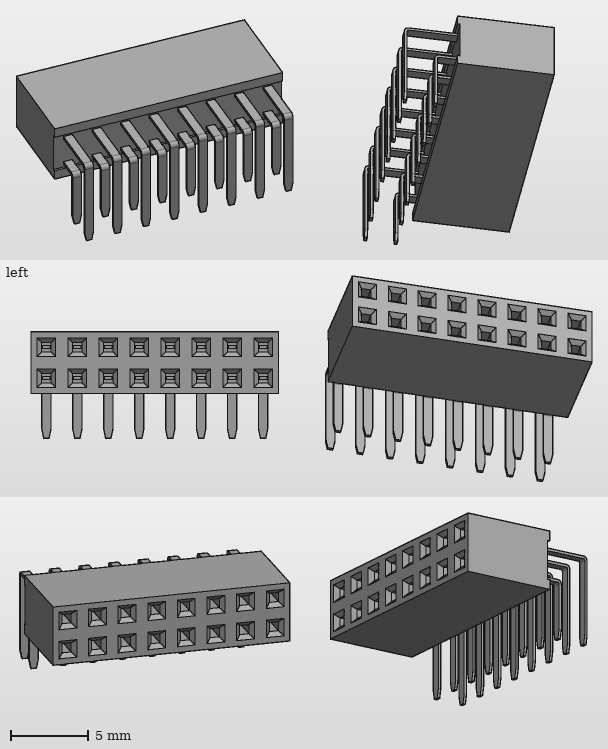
import cadquery as cq


pitch = 2.0
column_count = 8
row_count = 2

body_length = 6.35
body_width = column_count * pitch
body_height = row_count * pitch
recess_depth = 0.16
recess_margin = 0.67

socket_mouth = 1.2
socket_throat = 0.62
lead_in_depth = (socket_mouth - socket_throat) / 2
socket_depth = 4.0

tongue_width = 0.5
tongue_length = 1.0

pin_width = 0.6
pin_thickness = 0.2
bend_inner_radius = 0.104
bend_outer_radius = bend_inner_radius + pin_thickness
pin_reach = 9.73
pin_bottom = -2.9
tip_width = 0.35
tip_length = 0.6
pin_embed = 0.32

recess_floor = body_length - recess_depth
column_positions = [(column - (column_count - 1) / 2) * pitch for column in range(column_count)]
row_heights = [(row + 0.5) * pitch for row in range(row_count)]


def make_housing():
    """Block with a shallow recess running the full width of the rear face."""
    block = cq.Workplane("XY").box(body_length, body_width, body_height, centered=(False, True, False))
    recess = (
        cq.Workplane("XY")
        .box(recess_depth, body_width, body_height - 2 * recess_margin, centered=(False, True, False))
        .translate((recess_floor, 0, recess_margin))
    )
    return block.cut(recess)


def make_socket():
    """Square pyramid lead-in followed by a straight square hole, without the tongue on its floor."""
    lead_in = (
        cq.Workplane("YZ")
        .rect(socket_mouth, socket_mouth)
        .workplane(offset=lead_in_depth)
        .rect(socket_throat, socket_throat)
        .loft(ruled=True)
    )
    hole = (
        cq.Workplane("YZ", origin=(lead_in_depth, 0, 0))
        .rect(socket_throat, socket_throat)
        .extrude(socket_depth - lead_in_depth)
    )
    tongue = (
        cq.Workplane("YZ", origin=(socket_depth - tongue_length, 0, 0))
        .rect(tongue_width, pin_thickness)
        .extrude(tongue_length)
    )
    return lead_in.union(hole).cut(tongue)


def make_pin(row):
    """Flat pin leaving the recess, bent down to the board and tapered in width at its tip."""
    top = row_heights[row] + pin_thickness / 2
    outer_face = pin_reach - (row_count - 1 - row) * pitch
    start = recess_floor - pin_embed
    strip = (
        cq.Workplane("XZ")
        .moveTo(start, top)
        .lineTo(outer_face - bend_outer_radius, top)
        .radiusArc((outer_face, top - bend_outer_radius), bend_outer_radius)
        .lineTo(outer_face, pin_bottom)
        .lineTo(outer_face - pin_thickness, pin_bottom)
        .lineTo(outer_face - pin_thickness, top - bend_outer_radius)
        .radiusArc((outer_face - bend_outer_radius, top - pin_thickness), -bend_inner_radius)
        .lineTo(start, top - pin_thickness)
        .close()
        .extrude(pin_width / 2, both=True)
    )
    half_width = pin_width / 2
    half_tip = tip_width / 2
    shoulder = pin_bottom + tip_length
    front_outline = (
        cq.Workplane("YZ")
        .polyline([
            (-half_tip, pin_bottom),
            (half_tip, pin_bottom),
            (half_width, shoulder),
            (half_width, top),
            (-half_width, top),
            (-half_width, shoulder),
        ])
        .close()
        .extrude(pin_reach)
    )
    return strip.intersect(front_outline)


result = make_housing()
socket = make_socket()
for row, height in enumerate(row_heights):
    pin = make_pin(row)
    for y in column_positions:
        result = result.cut(socket.translate((0, y, height)))
        result = result.union(pin.translate((0, y, 0)))